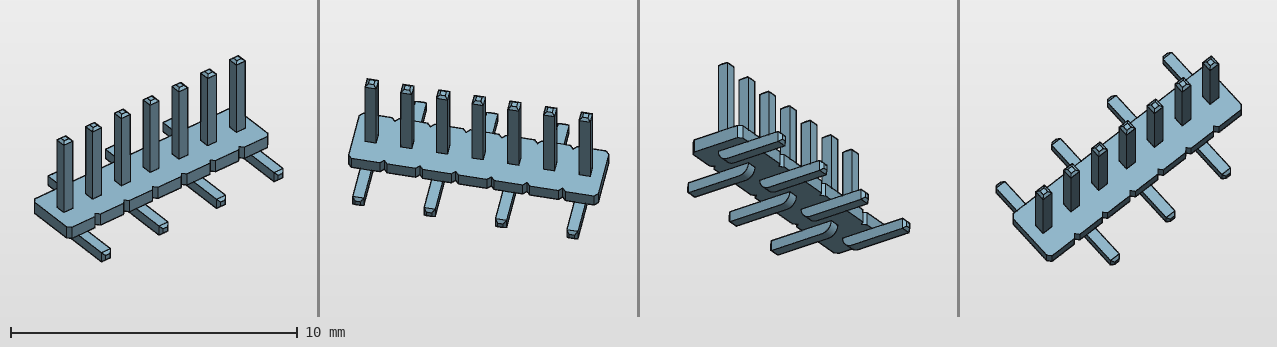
import cadquery as cq
import math

PIN_COUNT = 7
ROW_LENGTH = 8.89
FOOT_SPAN = 4.9
TOTAL_HEIGHT = 3.9

BODY_WIDTH = 2.11
BODY_HEIGHT = 0.49
NOTCH_DEPTH = 0.14
NOTCH_HALF_LENGTH = 0.125

PIN_WIDTH = 0.4
TIP_WIDTH = 0.2
PIN_TIP_LENGTH = 0.09
FOOT_TIP_LENGTH = 0.11

PITCH = ROW_LENGTH / PIN_COUNT
BODY_BOTTOM = PIN_WIDTH
FOOT_REACH = FOOT_SPAN / 2
HALF_PIN = PIN_WIDTH / 2


def pin_position(index):
    """Y position of a pin, counted from the -Y end."""
    return (index - (PIN_COUNT - 1) / 2) * PITCH


def body_segment(y):
    """One pitch of the insulator: a block with its four upright corners cut."""
    half_width = BODY_WIDTH / 2
    half_length = PITCH / 2
    flat_x = half_width - NOTCH_DEPTH
    flat_y = half_length - NOTCH_HALF_LENGTH
    outline = [
        (-flat_x, -half_length),
        (flat_x, -half_length),
        (half_width, -flat_y),
        (half_width, flat_y),
        (flat_x, half_length),
        (-flat_x, half_length),
        (-half_width, flat_y),
        (-half_width, -flat_y),
    ]
    return (
        cq.Workplane("XY", origin=(0, y, BODY_BOTTOM))
        .polyline(outline)
        .close()
        .extrude(BODY_HEIGHT)
    )


def tapered_tip(base_plane, length):
    """Frustum that narrows the square wire to its blunt end."""
    return (
        cq.Workplane(base_plane)
        .rect(PIN_WIDTH, PIN_WIDTH)
        .workplane(offset=length)
        .rect(TIP_WIDTH, TIP_WIDTH)
        .loft(ruled=True)
    )


def bent_pin(y, side):
    """L-shaped pin whose foot points to +X (side = 1) or -X (side = -1)."""
    post_top = TOTAL_HEIGHT - PIN_TIP_LENGTH
    foot_end = side * (FOOT_REACH - FOOT_TIP_LENGTH)
    outer_face = -side * HALF_PIN
    inner_face = side * HALF_PIN

    arc_offset = PIN_WIDTH * math.sqrt(0.5)
    arc_middle = (inner_face - side * arc_offset, PIN_WIDTH - arc_offset)
    wire = (
        cq.Workplane("XZ", origin=(0, y, 0))
        .moveTo(outer_face, post_top)
        .lineTo(outer_face, PIN_WIDTH)
        .threePointArc(arc_middle, (inner_face, 0))
        .lineTo(foot_end, 0)
        .lineTo(foot_end, PIN_WIDTH)
        .lineTo(inner_face, PIN_WIDTH)
        .lineTo(inner_face, post_top)
        .close()
        .extrude(HALF_PIN, both=True)
    )

    post_plane = cq.Plane(origin=(0, y, post_top), xDir=(1, 0, 0), normal=(0, 0, 1))
    foot_plane = cq.Plane(origin=(foot_end, y, HALF_PIN), xDir=(0, 1, 0), normal=(side, 0, 0))
    post_tip = tapered_tip(post_plane, PIN_TIP_LENGTH)
    foot_tip = tapered_tip(foot_plane, FOOT_TIP_LENGTH)
    return wire.union(post_tip).union(foot_tip)


result = body_segment(pin_position(0))
for index in range(1, PIN_COUNT):
    result = result.union(body_segment(pin_position(index)))
result = result.clean()

for index in range(PIN_COUNT):
    side = 1 if index % 2 == 0 else -1
    result = result.union(bent_pin(pin_position(index), side))